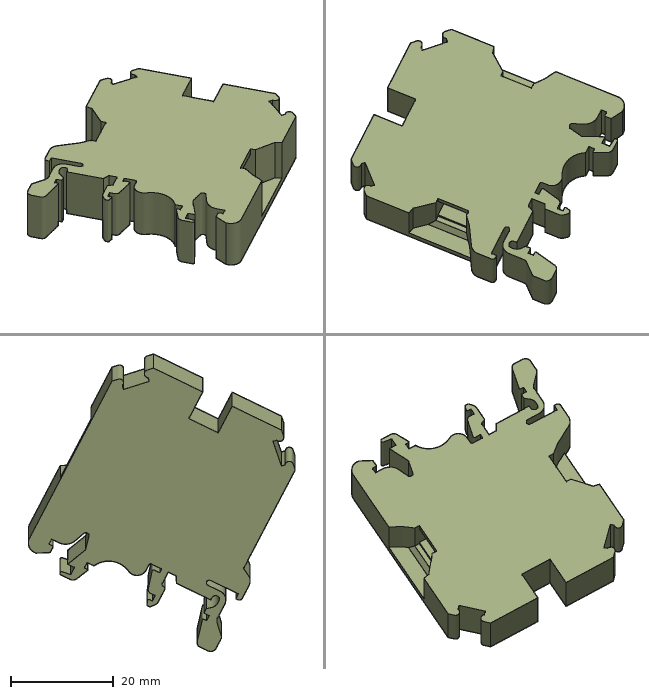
import cadquery as cq
import math

thickness = 10.0
height = 46.4
half_width = 20.0
width = 42.5
left_edge = half_width - width

notch_half_width = 3.2
notch_floor = 40.35
top_half_width = 13.95
lug_length = 2.27
lug_radius = 0.8
lug_neck_x = 14.0
lug_undercut = 0.5

ceiling = 10.75
ledge_top = 6.5
ledge_middle = 5.4
ledge_bottom = 4.18

spring_slot_floor = 11.9
spring_slot_top = 13.0
spring_slot_end = -14.8
spring_slot_radius = (spring_slot_top - spring_slot_floor) / 2

pocket_floor = 1.5
pocket_sill = 2.45
cavity_floor = 2.95
cavity_ceiling = 8.75
pocket_bottom = 18.05
pocket_low_corner = (17.65, 19.4)
pocket_high_corner = (18.7, 30.95)
pocket_top = 31.27
sill_x = 15.78
sill_slope_run = pocket_sill - pocket_floor
mouth_x = 14.75
mouth_bottom = 20.9
mouth_top = 27.4
cavity_depth = 6.95


def unit_vector(start, end):
    length = math.dist(start, end)
    return (end[0] - start[0]) / length, (end[1] - start[1]) / length


def rounded_outline(corners):
    """Closed wire through (x, y, radius) corners; a radius of 0 leaves the corner sharp."""
    wire = cq.Workplane("XY")
    shortest_line = 0.0005
    pen = None
    for i, (x, y, radius) in enumerate(corners):
        corner = (x, y)
        before = unit_vector(corner, corners[i - 1][:2])
        after = unit_vector(corner, corners[(i + 1) % len(corners)][:2])
        half_angle = math.acos(before[0] * after[0] + before[1] * after[1]) / 2
        setback = radius / math.tan(half_angle)
        start = (x + setback * before[0], y + setback * before[1])
        end = (x + setback * after[0], y + setback * after[1])
        if pen is None:
            wire = wire.moveTo(*start)
        elif math.dist(pen, start) > shortest_line:
            wire = wire.lineTo(*start)
        if radius > 0:
            bisector = unit_vector((0, 0), (before[0] + after[0], before[1] + after[1]))
            reach = radius / math.sin(half_angle) - radius
            middle = (x + reach * bisector[0], y + reach * bisector[1])
            wire = wire.threePointArc(middle, end)
        pen = end
    return wire.close()


def mirrored(corners):
    """The corners reflected in the centreline, in reverse order."""
    return [(-x, y, radius) for x, y, radius in reversed(corners)]


def top_right_corners():
    """From the notch to the right shoulder; the lower lug mirrors the upper one at 45 degrees."""
    lug_base = height - lug_length
    upper_lug = [
        (top_half_width, height, 0),
        (top_half_width + lug_length, lug_base, lug_radius),
        (lug_neck_x, lug_base, 0),
        (lug_neck_x - lug_undercut, lug_base - lug_undercut, 0),
    ]
    offset = height - half_width
    lower_lug = [(y - offset, x + offset, radius) for x, y, radius in reversed(upper_lug)]
    notch_side = [(notch_half_width, notch_floor, 0), (notch_half_width, height, 0)]
    return notch_side + upper_lug + lower_lug


right_leg = [
    (half_width, 2.6, 2.1),
    (17.5, 2.6, 0),
    (15.1, 3.95, 0),
    (15.1, ledge_middle, 0.25),
    (16.05, ledge_middle, 0),
    (16.05, ledge_top, 0),
    (12.55, ledge_top, 2.85),
    (10.3, 12.1, 0.6),
    (9.2, 7.6, 0),
]

fixed_hook = [
    (11.0, 3.4, 0),
    (9.5, 3.4, 0),
    (9.5, 1.75, 0),
    (11.5, 1.55, 0.32),
    (11.5, 0.85, 0.3),
    (8.4, 0.85, 1.2),
    (6.85, ledge_bottom, 0.15),
    (7.75, ledge_bottom, 0),
    (7.75, ledge_middle, 0),
]

wavy_edge = [
    (6.25, ledge_middle, 0),
    (4.1, 9.75, 4.75),
    (-notch_half_width, 5.9, 2.0),
    (-notch_half_width, ceiling, 0.35),
]

middle_hook = [
    (-5.8, ceiling, 0),
    (-5.8, 9.95, 0),
    (-4.2, 9.95, 0.32),
    (-5.45, ledge_middle, 0.85),
    (-7.1, ledge_middle, 0),
    (-7.1, ledge_bottom, 0),
    (-6.12, ledge_bottom, 0.25),
    (-6.55, 2.9, 0.2),
    (-7.25, 2.9, 0.35),
    (-8.2, 4.1, 1.4),
    (-8.2, 7.55, 0.15),
    (-7.25, 7.95, 0),
    (-7.25, ceiling, 0),
    (-8.9, ceiling, 0),
    (-9.65, 9.45, 0),
]

spring_foot = [
    (-17.15, 9.45, 0),
    (-17.15, ceiling, 0.75),
    (-18.65, ceiling, 0.75),
    (-18.65, 8.7, 1.85),
    (-17.15, 7.5, 0),
    (-17.15, ledge_top, 0),
    (-18.35, ledge_top, 0),
    (-18.35, ledge_middle, 0),
    (-17.45, ledge_middle, 0.2),
    (-18.8, 0, 0.9),
    (left_edge, 0, 1.2),
    (left_edge, 3.6, 0.4),
    (-half_width, 6.25, 0.97),
    (-half_width, spring_slot_floor, 2.0),
    (spring_slot_end, spring_slot_floor, spring_slot_radius),
    (spring_slot_end, spring_slot_top, spring_slot_radius),
]

left_shoulder = [
    (-21.4, spring_slot_top, 0),
    (-21.4, spring_slot_floor, 0),
    (left_edge, spring_slot_floor, 0.65),
    (left_edge, 16.6, 2.0),
    (-half_width, pocket_bottom, 0),
]


def block():
    top_right = top_right_corners()
    bottom = right_leg + fixed_hook + wavy_edge + middle_hook + spring_foot + left_shoulder
    outline = rounded_outline(top_right + bottom + mirrored(top_right))
    return outline.extrude(thickness)


def wire_pocket():
    """Flared pocket in the right side, open at the top, with a blind cavity behind its mouth."""
    flared_outline = [
        (half_width, pocket_bottom),
        pocket_low_corner,
        (sill_x, mouth_bottom),
        (mouth_x, mouth_bottom),
        (mouth_x, mouth_top),
        (sill_x, mouth_top),
        pocket_high_corner,
        (half_width, pocket_top),
    ]
    flare = cq.Workplane("XY").polyline(flared_outline).close().extrude(thickness)
    floor_profile = [
        (half_width, pocket_floor),
        (sill_x + sill_slope_run, pocket_floor),
        (sill_x, pocket_sill),
        (mouth_x, pocket_sill),
        (mouth_x, thickness),
        (half_width, thickness),
    ]
    above_floor = cq.Workplane("XZ").polyline(floor_profile).close().extrude(-height)
    cavity = cq.Workplane("XY").box(
        cavity_depth,
        mouth_top - mouth_bottom,
        cavity_ceiling - cavity_floor,
        centered=False,
    )
    cavity = cavity.translate((mouth_x - cavity_depth, mouth_bottom, cavity_floor))
    return flare.intersect(above_floor).union(cavity)


right_pocket = wire_pocket()
left_pocket = right_pocket.mirror("YZ")
result = block().cut(right_pocket).cut(left_pocket)